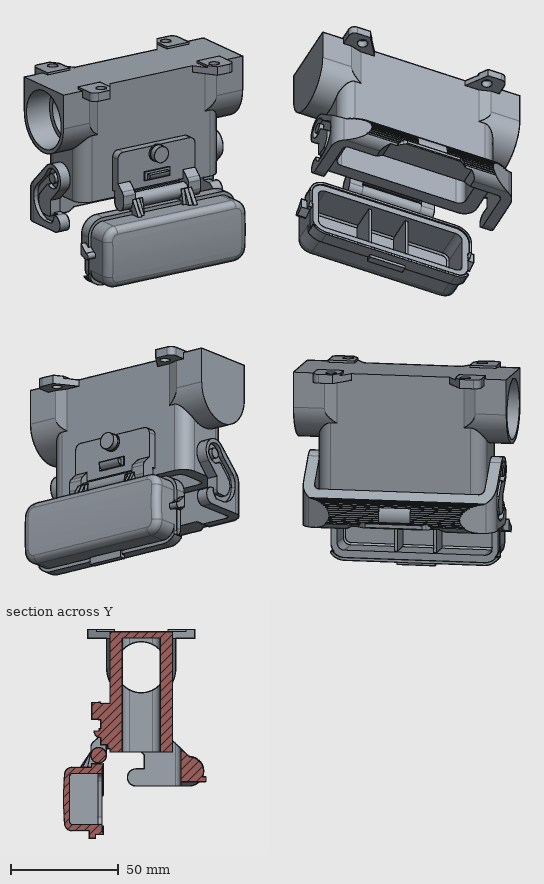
import cadquery as cq
import math


LENGTH = 101.0
END_RADIUS = 16.2
BORE_Z = -16.6
BODY_HALF_X = 14.5
BODY_HALF_Y = 39.8
BODY_BOTTOM = -56.1
BODY_CORNER = 6.6
BLOCK_TAPER_OUTER_Y = 35.8
BLOCK_TAPER_INNER_Y = 30.2
ENTRY_RADIUS = 14.2
ENTRY_DEPTH = 12.9
BORE_RADIUS = 11.8
BORE_DEPTH = 23.2
CAVITY_HALF_X = 8.8
CAVITY_HALF_Y = 32.8
CAVITY_CORNER = 3.4
ROOF = 3.0

FOOT_BOTTOM = -3.1
PAD_HEIGHT = 1.0
FOOT_OUTER_X = 24.9
PAD_INNER_X = 12.4
FOOT_OUTER_Y = 39.9
PAD_INNER_Y = 27.4
FOOT_SLANT_Y = 30.2
FOOT_ROOT_Y = 23.2
FOOT_CORNER = 3.0
FOOT_HOLE_X = 19.9
FOOT_HOLE_Y = 31.8
FOOT_HOLE_RADIUS = 2.4

PIVOT_Z = -46.3
PIVOT_RADIUS = 6.9
COLLAR_RADIUS = 3.3
PIN_RADIUS = 2.4
LEVER_HALF_Y = 45.9
LEVER_INNER_Y = 40.4
LEVER_INNER_X = -18.4
LEVER_INNER_CORNER = 2.5
LEVER_BOTTOM = -71.8
GRIP_X = -22.1
GRIP_RADIUS = 7.0
GRIP_END_Y = 30.5
GRIP_ROOT_Y = 41.7
LEVER_OUTER_CORNER = 7.8
NOTCH_X = -1.3
HOOK_RADIUS = 4.0
HOOK_X = 2.4
TRACK_DEPTH = 2.2
TRACK_RADIUS = 4.8
TRACK_LOW_Z = -68.5
ISLAND_LOW_Z = -65.4
RIDGE_COUNT = 15
RIDGE_START = 95.0
RIDGE_STEP = 8.5
RIDGE_GROOVE_RADIUS = 0.35
EMBLEM_HALF_Y = 7.5
EMBLEM_TOP = -60.6
TAB_X = -30.2
TAB_TOP = -67.4
TAB_BOTTOM = -69.9
TAB_HALF_Y = 13.5
TAB_BEVEL_HALF_Y = 15.0
TAB_BEVEL_DEPTH = 1.0
TAB_ROOT_HALF_Y = 18.6
TAB_ROOT_X = -26.3
TAB_CHAMFER = 0.4
FINGER_CUT_TOP_Y = 20.8
FINGER_CUT_BOTTOM_Y = 23.9

BRACKET_X = 18.9
BRACKET_HALF_Y = 21.7
BRACKET_TOP = -33.2
BRACKET_BOTTOM = -52.6
BRACKET_CORNER = 3.0
EAR_INNER_Y = 14.9
HINGE_X = 19.8
HINGE_Z = -57.5
HINGE_RADIUS = 3.6
EAR_SLANT_TOP = -48.2
EAR_ROUND_X = 22.3
EAR_ROUND_TOP = -51.3
EAR_ROUND_BOTTOM = -53.3
EAR_ROUND_RADIUS = 3.5
SEAL_LIP_X = 15.7
SEAL_LIP_BOTTOM = -54.5
SCREW_Z = -36.9
SCREW_COLLAR_RADIUS = 4.1
SCREW_COLLAR_LENGTH = 1.0
SCREW_HEAD_RADIUS = 3.9
SCREW_END_X = 23.0
CATCH_PLATE_X = 19.6
CATCH_PLATE_HALF_Y = 7.1
CATCH_PLATE_TOP = -45.0
CATCH_NOSE_X = 21.9
CATCH_NOSE_HALF_Y = 5.6
CATCH_NOSE_TOP = -46.2
CATCH_BOTTOM = -49.3

COVER_MOUTH_X = 18.2
COVER_END_X = 36.3
COVER_EDGE_X = 35.2
COVER_TOP = -63.0
COVER_BOTTOM = -92.6
COVER_HALF_Y = BODY_HALF_Y
COVER_CORNER = 6.5
COVER_ROUND = 3.4
RIM_X = 17.6
RIM_BACK_X = 23.2
RIM_STRIP_X = 21.2
RIM_STEP = 1.7
RIM_HALF_Y = 41.3
RIM_CORNER = 8.2
MOUTH_GAP = 0.4
RELIEF_TOP = -76.0
RELIEF_SLANT_X = 19.3
RELIEF_SLANT_END = -78.0
RELIEF_DEPTH = 0.1
RELIEF_BOTTOM = -90.4
COVER_WALL = 3.0
COVER_FLOOR_X = 33.3
COVER_CAVITY_CORNER = 3.4
COVER_FLOOR_CHAMFER = 0.9
RIB_Y = 9.3
RIB_WIDTH = 1.4
RIB_TOP_X = 20.2
LUG_HALF_Y = 44.1
LUG_TOP = -72.6
LUG_SHOULDER = (25.2, -76.3)
LUG_NOSE = (27.0, -77.8)
LUG_TOE = (25.6, -79.4)
LIP_BACK_X = 24.2
LIP_HALF_Y = 9.0
LIP_BOTTOM = -96.1
WEB_TOP_Z = -55.8
WEB_STEPS = [(10.9, 12.6, 24.9), (12.6, 14.6, 27.3), (14.6, 16.7, 28.3)]


def box(x0, x1, y0, y1, z0, z1):
    """Box between two opposite corners."""
    return cq.Workplane("XY").box(x1 - x0, y1 - y0, z1 - z0, centered=False).translate((x0, y0, z0))


def plate_xz(profile, y0, y1):
    """Extrude a closed XZ profile from y0 to y1."""
    return profile.extrude(y0 - y1).translate((0, y0, 0))


def both_ends(solid):
    """The solid together with its mirror image across y = 0."""
    return solid.union(solid.mirror("XZ"))


def rounded_block(x0, x1, half_y, z_low, z_high, radius):
    """Block along X whose YZ outline has rounded corners."""
    return box(x0, x1, -half_y, half_y, z_low, z_high).edges("|X").fillet(radius)


def x_cylinder(x0, x1, z, radius):
    return cq.Workplane("YZ").center(0, z).circle(radius).extrude(x1 - x0).translate((x0, 0, 0))


def y_cylinder(x, z, radius, y0, y1):
    return plate_xz(cq.Workplane("XZ").center(x, z).circle(radius), y0, y1)


def make_housing():
    body = box(-BODY_HALF_X, BODY_HALF_X, -BODY_HALF_Y, BODY_HALF_Y, BODY_BOTTOM, 0)
    body = body.edges("|Z").fillet(BODY_CORNER)
    half_length = LENGTH / 2
    ends = plate_xz(
        cq.Workplane("XZ")
        .moveTo(-END_RADIUS, 0)
        .lineTo(-END_RADIUS, BORE_Z)
        .threePointArc((0, BORE_Z - END_RADIUS), (END_RADIUS, BORE_Z))
        .lineTo(END_RADIUS, 0)
        .close(),
        -half_length, half_length,
    )
    quarter_outline = [
        (END_RADIUS, half_length),
        (END_RADIUS, BLOCK_TAPER_OUTER_Y),
        (BODY_HALF_X, BLOCK_TAPER_INNER_Y),
    ]
    right_side = quarter_outline + [(x, -y) for x, y in reversed(quarter_outline)]
    left_side = [(-x, -y) for x, y in right_side]
    plan = cq.Workplane("XY").polyline(right_side + left_side).close().extrude(BODY_BOTTOM)
    return body.union(ends.intersect(plan))


def make_housing_hollow():
    cavity = box(-CAVITY_HALF_X, CAVITY_HALF_X, -CAVITY_HALF_Y, CAVITY_HALF_Y, BODY_BOTTOM, -ROOF)
    cavity = cavity.edges("|Z").fillet(CAVITY_CORNER)
    entry_y = -LENGTH / 2
    entry = y_cylinder(0, BORE_Z, ENTRY_RADIUS, entry_y, entry_y + ENTRY_DEPTH)
    bore = y_cylinder(0, BORE_Z, BORE_RADIUS, entry_y, entry_y + BORE_DEPTH)
    return cavity.union(entry).union(bore)


def make_feet():
    foot = (
        cq.Workplane("XY")
        .polyline([
            (0, FOOT_OUTER_Y),
            (FOOT_OUTER_X, FOOT_OUTER_Y),
            (FOOT_OUTER_X, FOOT_SLANT_Y),
            (BODY_HALF_X, FOOT_ROOT_Y),
            (0, FOOT_ROOT_Y),
        ])
        .close()
        .extrude(PAD_HEIGHT - FOOT_BOTTOM)
        .translate((0, 0, FOOT_BOTTOM))
    )
    foot = foot.edges("|Z and >X and >Y").fillet(FOOT_CORNER)
    foot = foot.cut(box(0, PAD_INNER_X, 0, LENGTH / 2, FOOT_BOTTOM, PAD_HEIGHT))
    foot = foot.cut(box(0, FOOT_OUTER_X, 0, PAD_INNER_Y, 0, PAD_HEIGHT))
    hole = (
        cq.Workplane("XY")
        .center(FOOT_HOLE_X, FOOT_HOLE_Y)
        .circle(FOOT_HOLE_RADIUS)
        .extrude(PAD_HEIGHT - FOOT_BOTTOM)
        .translate((0, 0, FOOT_BOTTOM))
    )
    pair = both_ends(foot.cut(hole))
    return pair.union(pair.mirror("YZ"))


def lever_profile():
    """Side outline of the lever: pivot eye, slanted arm, rounded grip and hook."""
    grip_z = LEVER_BOTTOM + GRIP_RADIUS
    grip_top = grip_z + GRIP_RADIUS
    run = -GRIP_X
    rise = PIVOT_Z - grip_top
    slope = math.atan2(rise, run) + math.asin(PIVOT_RADIUS / math.hypot(run, rise))
    upper_tangent = (-PIVOT_RADIUS * math.sin(slope), PIVOT_Z + PIVOT_RADIUS * math.cos(slope))
    diagonal = PIVOT_RADIUS / math.sqrt(2)
    lower_tangent = (diagonal, PIVOT_Z - diagonal)
    notch_top = lower_tangent[1] - (diagonal - NOTCH_X)
    hook_top = LEVER_BOTTOM + 2 * HOOK_RADIUS
    return (
        cq.Workplane("XZ")
        .moveTo(GRIP_X, LEVER_BOTTOM)
        .threePointArc((GRIP_X - GRIP_RADIUS, grip_z), (GRIP_X, grip_top))
        .lineTo(*upper_tangent)
        .threePointArc((diagonal, PIVOT_Z + diagonal), lower_tangent)
        .lineTo(NOTCH_X, notch_top)
        .lineTo(NOTCH_X, hook_top)
        .lineTo(HOOK_X, hook_top)
        .threePointArc((HOOK_X + HOOK_RADIUS, hook_top - HOOK_RADIUS), (HOOK_X, LEVER_BOTTOM))
        .close()
    )


def lever_track():
    """Recess in the outer face of an arm: round the pivot, along the arm, out above the hook."""
    hook_top = LEVER_BOTTOM + 2 * HOOK_RADIUS
    profile = (
        cq.Workplane("XZ")
        .moveTo(-NOTCH_X, hook_top)
        .threePointArc((0.6, -67.0), (-1.2, TRACK_LOW_Z))
        .lineTo(-6.6, TRACK_LOW_Z)
        .threePointArc((-12.5, -65.2), (-14.9, -59.1))
        .threePointArc((-14.5, -55.5), (-13.2, -53.2))
        .lineTo(-6.0, -46.5)
        .lineTo(-4.5, -44.4)
        .threePointArc((TRACK_RADIUS, PIVOT_Z), (-3.2, -49.9))
        .lineTo(-3.9, -50.1)
        .lineTo(-10.2, -56.4)
        .threePointArc((-10.9, -60.8), (-7.4, ISLAND_LOW_Z))
        .lineTo(-2.3, ISLAND_LOW_Z)
        .threePointArc((-1.6, -64.8), (NOTCH_X, hook_top))
        .close()
    )
    floor_y = TRACK_DEPTH - LEVER_HALF_Y
    track = plate_xz(profile, -LEVER_HALF_Y, floor_y)
    return track.cut(y_cylinder(0, PIVOT_Z, PIN_RADIUS, -LEVER_HALF_Y, floor_y))


def grip_grooves():
    """Fine grooves along the grip; the lower ones stop at the smooth emblem field in the middle."""
    grip_z = LEVER_BOTTOM + GRIP_RADIUS
    grooves = cq.Workplane("XY")
    for i in range(RIDGE_COUNT):
        angle = math.radians(RIDGE_START + i * RIDGE_STEP)
        x = GRIP_X + GRIP_RADIUS * math.cos(angle)
        z = grip_z + GRIP_RADIUS * math.sin(angle)
        start_y = 0 if z > EMBLEM_TOP else EMBLEM_HALF_Y
        grooves = grooves.add(y_cylinder(x, z, RIDGE_GROOVE_RADIUS, start_y, LEVER_HALF_Y))
    grooves = grooves.combine()
    return both_ends(grooves)


def make_lever():
    lever = plate_xz(lever_profile(), -LEVER_HALF_Y, LEVER_HALF_Y)

    front_x = PIVOT_RADIUS
    outer_x = GRIP_X - GRIP_RADIUS
    slant = GRIP_RADIUS / (GRIP_ROOT_Y - GRIP_END_Y)
    corner_x = GRIP_X + (LEVER_HALF_Y - GRIP_ROOT_Y) * slant
    plan = (
        cq.Workplane("XY")
        .polyline([
            (front_x, -LEVER_HALF_Y),
            (corner_x, -LEVER_HALF_Y),
            (outer_x, -GRIP_END_Y),
            (outer_x, GRIP_END_Y),
            (corner_x, LEVER_HALF_Y),
            (front_x, LEVER_HALF_Y),
        ])
        .close()
        .extrude(LEVER_BOTTOM)
    )
    plan = plan.edges("|Z and (>Y or <Y) and (not >X)").fillet(LEVER_OUTER_CORNER)
    lever = lever.intersect(plan)

    opening = box(LEVER_INNER_X, front_x, -LEVER_INNER_Y, LEVER_INNER_Y, LEVER_BOTTOM, 0)
    lever = lever.cut(opening.edges("|Z and <X").fillet(LEVER_INNER_CORNER))
    lever = lever.cut(both_ends(lever_track())).cut(grip_grooves())

    finger_cut = (
        cq.Workplane("YZ")
        .polyline([
            (-FINGER_CUT_BOTTOM_Y, LEVER_BOTTOM),
            (FINGER_CUT_BOTTOM_Y, LEVER_BOTTOM),
            (FINGER_CUT_TOP_Y, TAB_BOTTOM),
            (-FINGER_CUT_TOP_Y, TAB_BOTTOM),
        ])
        .close()
        .extrude(outer_x)
    )
    bevel_x = TAB_X + TAB_BEVEL_DEPTH
    thumb_tab = (
        cq.Workplane("XY")
        .polyline([
            (TAB_ROOT_X, -TAB_ROOT_HALF_Y),
            (bevel_x, -TAB_BEVEL_HALF_Y),
            (TAB_X, -TAB_HALF_Y),
            (TAB_X, TAB_HALF_Y),
            (bevel_x, TAB_BEVEL_HALF_Y),
            (TAB_ROOT_X, TAB_ROOT_HALF_Y),
        ])
        .close()
        .extrude(TAB_TOP - TAB_BOTTOM)
        .translate((0, 0, TAB_BOTTOM))
    )
    thumb_tab = thumb_tab.faces("<X").edges("|Y").chamfer(TAB_CHAMFER)
    collars = both_ends(y_cylinder(0, PIVOT_Z, COLLAR_RADIUS, BODY_HALF_Y, LEVER_INNER_Y))
    return lever.cut(finger_cut).union(thumb_tab).union(collars)


def make_bracket():
    plate = box(BODY_HALF_X, BRACKET_X, -BRACKET_HALF_Y, BRACKET_HALF_Y, BRACKET_BOTTOM, BRACKET_TOP)
    plate = plate.edges("|X and >Z").fillet(BRACKET_CORNER)

    ear_left = HINGE_X - HINGE_RADIUS
    ear_right = HINGE_X + HINGE_RADIUS
    ear_profile = (
        cq.Workplane("XZ")
        .moveTo(ear_left, EAR_SLANT_TOP)
        .lineTo(BRACKET_X, EAR_SLANT_TOP)
        .lineTo(EAR_ROUND_X, EAR_ROUND_TOP)
        .radiusArc((ear_right, EAR_ROUND_BOTTOM), EAR_ROUND_RADIUS)
        .lineTo(ear_right, HINGE_Z)
        .threePointArc((HINGE_X, HINGE_Z - HINGE_RADIUS), (ear_left, HINGE_Z))
        .close()
    )
    ears = both_ends(plate_xz(ear_profile, EAR_INNER_Y, BRACKET_HALF_Y))

    seal_lip = box(BODY_HALF_X, SEAL_LIP_X, -EAR_INNER_Y, EAR_INNER_Y, SEAL_LIP_BOTTOM, BRACKET_BOTTOM)

    collar_end = BRACKET_X + SCREW_COLLAR_LENGTH
    screw = x_cylinder(BRACKET_X, collar_end, SCREW_Z, SCREW_COLLAR_RADIUS)
    screw = screw.union(x_cylinder(collar_end, SCREW_END_X, SCREW_Z, SCREW_HEAD_RADIUS))

    catch_plate = box(
        BRACKET_X, CATCH_PLATE_X, -CATCH_PLATE_HALF_Y, CATCH_PLATE_HALF_Y, CATCH_BOTTOM, CATCH_PLATE_TOP
    )
    nose_profile = (
        cq.Workplane("XZ")
        .moveTo(BRACKET_X, CATCH_NOSE_TOP)
        .lineTo(CATCH_NOSE_X, CATCH_NOSE_TOP)
        .radiusArc((CATCH_PLATE_X, CATCH_BOTTOM), CATCH_NOSE_TOP - CATCH_BOTTOM)
        .lineTo(BRACKET_X, CATCH_BOTTOM)
        .close()
    )
    nose = plate_xz(nose_profile, -CATCH_NOSE_HALF_Y, CATCH_NOSE_HALF_Y)
    return plate.union(ears).union(seal_lip).union(screw).union(catch_plate).union(nose)


def make_cover_shell():
    shell = rounded_block(
        COVER_MOUTH_X, COVER_END_X, COVER_HALF_Y, COVER_BOTTOM, COVER_TOP, COVER_CORNER
    )
    mid_z = (COVER_TOP + COVER_BOTTOM) / 2
    dome = plate_xz(
        cq.Workplane("XZ")
        .moveTo(COVER_MOUTH_X, COVER_BOTTOM)
        .lineTo(COVER_EDGE_X, COVER_BOTTOM)
        .threePointArc((COVER_END_X, mid_z), (COVER_EDGE_X, COVER_TOP))
        .lineTo(COVER_MOUTH_X, COVER_TOP)
        .close(),
        -COVER_HALF_Y, COVER_HALF_Y,
    )
    return shell.intersect(dome).faces(">X").edges().fillet(COVER_ROUND)


def side_relief():
    """Relief in front of the strip on the lower sides, as a block across the whole cover."""
    profile = (
        cq.Workplane("XZ")
        .polyline([
            (RIM_X, RELIEF_TOP),
            (RELIEF_SLANT_X, RELIEF_SLANT_END),
            (RIM_STRIP_X, RELIEF_SLANT_END),
            (RIM_STRIP_X, RELIEF_BOTTOM),
            (RIM_X, RELIEF_BOTTOM),
        ])
        .close()
    )
    return plate_xz(profile, -RIM_HALF_Y, RIM_HALF_Y)


def make_cover_rim():
    rim_top = COVER_TOP + RIM_STEP
    rim_bottom = COVER_BOTTOM - RIM_STEP
    rim = rounded_block(RIM_X, RIM_BACK_X, RIM_HALF_Y, rim_bottom, rim_top, RIM_CORNER)
    flush_side = box(RIM_X, RIM_BACK_X, COVER_HALF_Y, RIM_HALF_Y, rim_bottom, RELIEF_SLANT_END)
    mouth = rounded_block(
        RIM_X, COVER_MOUTH_X, COVER_HALF_Y + MOUTH_GAP,
        COVER_BOTTOM - MOUTH_GAP, COVER_TOP + MOUTH_GAP, COVER_CORNER + MOUTH_GAP,
    )
    return rim.cut(both_ends(flush_side)).cut(mouth).cut(side_relief())


def make_cover_lugs():
    """Locking lugs that the hooks of the lever catch."""
    profile = (
        cq.Workplane("XZ")
        .moveTo(RIM_STRIP_X, LUG_TOP)
        .lineTo(*LUG_SHOULDER)
        .threePointArc(LUG_NOSE, LUG_TOE)
        .lineTo(RIM_STRIP_X, RELIEF_SLANT_END)
        .close()
    )
    return both_ends(plate_xz(profile, COVER_HALF_Y - COVER_WALL, LUG_HALF_Y))


def make_hinge_web():
    """Stepped web that joins the hinge knuckle to the top of the shell."""
    web = cq.Workplane("XY")
    for start_y, end_y, back_x in WEB_STEPS:
        profile = (
            cq.Workplane("XZ")
            .polyline([
                (HINGE_X, WEB_TOP_Z),
                (HINGE_X + HINGE_RADIUS, WEB_TOP_Z),
                (back_x, COVER_TOP),
                (HINGE_X, COVER_TOP),
            ])
            .close()
        )
        web = web.add(plate_xz(profile, start_y, end_y))
    return web.combine()


def make_cover():
    relief_y = COVER_HALF_Y - RELIEF_DEPTH
    relief = side_relief().intersect(
        both_ends(box(RIM_X, RIM_STRIP_X, relief_y, RIM_HALF_Y, RELIEF_BOTTOM, RELIEF_TOP))
    )
    cover = make_cover_shell().union(make_cover_rim()).cut(relief)
    cavity_top = COVER_TOP - COVER_WALL
    cavity_bottom = COVER_BOTTOM + COVER_WALL
    cavity = rounded_block(
        RIM_X, COVER_FLOOR_X, COVER_HALF_Y - COVER_WALL, cavity_bottom, cavity_top, COVER_CAVITY_CORNER
    )
    cover = cover.cut(cavity.faces(">X").edges().chamfer(COVER_FLOOR_CHAMFER))
    rib = box(
        RIB_TOP_X, COVER_FLOOR_X, RIB_Y - RIB_WIDTH / 2, RIB_Y + RIB_WIDTH / 2, cavity_bottom, cavity_top
    )
    lip = box(RIM_STRIP_X, LIP_BACK_X, -LIP_HALF_Y, LIP_HALF_Y, LIP_BOTTOM, COVER_BOTTOM)

    knuckle = y_cylinder(HINGE_X, HINGE_Z, HINGE_RADIUS, -EAR_INNER_Y, EAR_INNER_Y)
    webs = both_ends(make_hinge_web())
    for feature in (both_ends(rib), make_cover_lugs(), lip, knuckle, webs):
        cover = cover.union(feature)
    return cover


housing = make_housing().union(make_feet()).cut(make_housing_hollow())
result = housing.union(make_lever()).union(make_bracket()).union(make_cover())